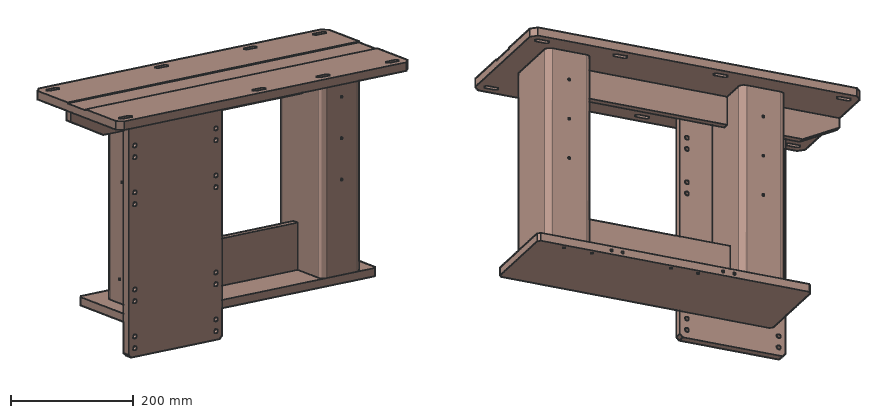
import cadquery as cq

TABLE_LENGTH = 590.0
TABLE_WIDTH = 235.0
OVERALL_HEIGHT = 427.0
PLATE_THICKNESS = 15.0
TABLE_TOP = OVERALL_HEIGHT / 2
TABLE_UNDERSIDE = TABLE_TOP - PLATE_THICKNESS
LEFT_SIDE = -TABLE_WIDTH / 2
FRONT_END = -TABLE_LENGTH / 2

TABLE_CORNER_CHAMFER = 10.0
GROOVE_WIDTH = 49.5
GROOVE_DEPTH = 2.0
SLOT_LENGTH = 25.0
SLOT_WIDTH = 9.5
SLOT_X = 100.0
SLOT_END_Y = 269.5
SLOT_INNER_Y = 130.0
LEFT_SLOT_MID_Y = -49.5
RIGHT_SLOT_MID_Y = 0.0

COLUMN_WIDTH = 120.0
COLUMN_DEPTH = 80.0
COLUMN_RADIUS = 10.0
COLUMN_INSET = 35.5
COLUMN_HEIGHT = 352.0
COLUMN_X = LEFT_SIDE + COLUMN_INSET + COLUMN_WIDTH / 2
COLUMN_BACK_FACE = COLUMN_X + COLUMN_WIDTH / 2
COLUMN_BOTTOM = TABLE_UNDERSIDE - COLUMN_HEIGHT
FRONT_COLUMN_Y = -134.0
REAR_COLUMN_Y = 213.0
SCREW_HOLE = 3.5
SIDE_HOLE_DROPS = (50.0, 120.5, 190.5)
FRONT_HOLE_DEPTH = 12.0
FRONT_HOLES = (
    (-18.0, 146.0),
    (18.0, 146.0),
    (0.0, 218.0),
    (0.0, 252.0),
    (-24.0, 311.5),
    (24.0, 311.5),
)

WEB_THICKNESS = 12.0
UPPER_WEB_HEIGHT = 50.0
LOWER_WEB_HEIGHT = 80.0
GUSSET_TIP_HEIGHT = 16.5
GUSSET_SLOPE_LENGTH = 66.0
LOWER_WEB_X = COLUMN_X - WEB_THICKNESS
WEB_FRONT_Y = FRONT_COLUMN_Y + COLUMN_DEPTH / 2
WEB_REAR_Y = REAR_COLUMN_Y - COLUMN_DEPTH / 2

BASE_THICKNESS = 14.0
BASE_FRONT_Y = -204.0
BASE_REAR_Y = 284.5
BASE_CORNER_CHAMFER = 5.0
BASE_HOLE = 4.0
BASE_HOLE_DEPTH = 9.0
BASE_EDGE_HOLES_Y = (153.5, 133.5, -46.0, -66.0)
BASE_TOP_HOLES_Y = (234.0, 184.0, 42.5, -6.0)
BASE_TOP_HOLE_INSET = 10.0

BACK_WIDTH = 189.0
BACK_Y = FRONT_COLUMN_Y
BACK_TOP_GAP = 5.0
BACK_TOP = TABLE_UNDERSIDE - BACK_TOP_GAP
BACK_BOTTOM = -OVERALL_HEIGHT / 2
BACK_CORNER_CHAMFER = 5.5
BACK_HOLE = 7.0
BACK_HOLE_HALF_SPAN = 82.0
BACK_PAIR_PITCH = 20.0
BACK_PAIR_HEIGHTS = (25.0, 104.5, 269.0, 348.5)


def box(x_min, x_max, y_min, y_max, z_min, z_max):
    """Box given by its limits along the three axes."""
    return cq.Workplane("XY").box(
        x_max - x_min, y_max - y_min, z_max - z_min, centered=False
    ).translate((x_min, y_min, z_min))


def hole_along_x(diameter, x_start, length, y, z):
    """Cylinder running toward +X from x_start."""
    drill = cq.Workplane("YZ", origin=(x_start, y, z))
    return drill.circle(diameter / 2).extrude(length)


def make_table():
    """Slotted table plate with a shallow groove along its length."""
    plate = cq.Workplane("XY", origin=(0, 0, TABLE_UNDERSIDE))
    plate = plate.rect(TABLE_WIDTH, TABLE_LENGTH).extrude(PLATE_THICKNESS)
    plate = plate.edges("|Z").chamfer(TABLE_CORNER_CHAMFER)
    groove = box(
        -GROOVE_WIDTH / 2, GROOVE_WIDTH / 2,
        FRONT_END, -FRONT_END,
        TABLE_TOP - GROOVE_DEPTH, TABLE_TOP,
    )
    slot_places = []
    for x, mid_y in ((-SLOT_X, LEFT_SLOT_MID_Y), (SLOT_X, RIGHT_SLOT_MID_Y)):
        for y in (-SLOT_END_Y, mid_y, SLOT_INNER_Y, SLOT_END_Y):
            slot_places.append((x, y))
    slots = cq.Workplane("XY", origin=(0, 0, TABLE_UNDERSIDE)).pushPoints(slot_places)
    slots = slots.slot2D(SLOT_LENGTH, SLOT_WIDTH, 90).extrude(PLATE_THICKNESS)
    return plate.cut(groove).cut(slots)


def make_column(y):
    """Rounded column with three screw holes through it from side to side."""
    column = cq.Workplane("XY", origin=(COLUMN_X, y, COLUMN_BOTTOM))
    column = column.rect(COLUMN_WIDTH, COLUMN_DEPTH).extrude(COLUMN_HEIGHT)
    column = column.edges("|Z").fillet(COLUMN_RADIUS)
    column_left = COLUMN_X - COLUMN_WIDTH / 2
    for drop in SIDE_HOLE_DROPS:
        z = TABLE_UNDERSIDE - drop
        column = column.cut(hole_along_x(SCREW_HOLE, column_left, COLUMN_WIDTH, y, z))
    return column


def drill_front_face(column):
    """Blind screw holes in the front face of the front column."""
    face_y = FRONT_COLUMN_Y - COLUMN_DEPTH / 2
    drill = cq.Workplane("XZ", origin=(COLUMN_X, face_y, TABLE_UNDERSIDE))
    drill = drill.pushPoints([(offset, -drop) for offset, drop in FRONT_HOLES])
    return column.cut(drill.circle(SCREW_HOLE / 2).extrude(-FRONT_HOLE_DEPTH))


def make_web(x, z_min, z_max):
    """Flat web spanning the gap between the two columns, centred on x."""
    half = WEB_THICKNESS / 2
    return box(x - half, x + half, WEB_FRONT_Y, WEB_REAR_Y, z_min, z_max)


def make_gusset():
    """Web under the front overhang of the table, tapered toward its tip."""
    root_y = FRONT_COLUMN_Y - COLUMN_DEPTH / 2
    bottom = TABLE_UNDERSIDE - UPPER_WEB_HEIGHT
    outline = [
        (root_y, TABLE_UNDERSIDE),
        (FRONT_END, TABLE_UNDERSIDE),
        (FRONT_END, TABLE_UNDERSIDE - GUSSET_TIP_HEIGHT),
        (FRONT_END + GUSSET_SLOPE_LENGTH, bottom),
        (root_y, bottom),
    ]
    sketch = cq.Workplane("YZ", origin=(COLUMN_X - WEB_THICKNESS / 2, 0, 0))
    return sketch.polyline(outline).close().extrude(WEB_THICKNESS)


def make_base():
    """Base plate drilled along its left edge and top."""
    bottom = COLUMN_BOTTOM - BASE_THICKNESS
    plate = box(LEFT_SIDE, COLUMN_BACK_FACE, BASE_FRONT_Y, BASE_REAR_Y, bottom, COLUMN_BOTTOM)
    plate = plate.edges("|Z").chamfer(BASE_CORNER_CHAMFER)
    middle = COLUMN_BOTTOM - BASE_THICKNESS / 2
    for y in BASE_EDGE_HOLES_Y:
        plate = plate.cut(hole_along_x(BASE_HOLE, LEFT_SIDE, BASE_HOLE_DEPTH, y, middle))
    top_holes = cq.Workplane("XY", origin=(LEFT_SIDE + BASE_TOP_HOLE_INSET, 0, COLUMN_BOTTOM))
    top_holes = top_holes.pushPoints([(0, y) for y in BASE_TOP_HOLES_Y])
    return plate.cut(top_holes.circle(BASE_HOLE / 2).extrude(-BASE_THICKNESS))


def make_back_plate():
    """Upright plate behind the front column, with pairs of holes down both edges."""
    plate = box(
        COLUMN_BACK_FACE, COLUMN_BACK_FACE + PLATE_THICKNESS,
        BACK_Y - BACK_WIDTH / 2, BACK_Y + BACK_WIDTH / 2,
        BACK_BOTTOM, BACK_TOP,
    )
    plate = plate.edges("|X").chamfer(BACK_CORNER_CHAMFER)
    for y in (BACK_Y - BACK_HOLE_HALF_SPAN, BACK_Y + BACK_HOLE_HALF_SPAN):
        for pair_height in BACK_PAIR_HEIGHTS:
            for shift in (-BACK_PAIR_PITCH / 2, BACK_PAIR_PITCH / 2):
                z = BACK_BOTTOM + pair_height + shift
                plate = plate.cut(
                    hole_along_x(BACK_HOLE, COLUMN_BACK_FACE, PLATE_THICKNESS, y, z)
                )
    return plate


table = make_table()
columns = [make_column(y) for y in (FRONT_COLUMN_Y, REAR_COLUMN_Y)]
columns[0] = drill_front_face(columns[0])
upper_web = make_web(COLUMN_X, TABLE_UNDERSIDE - UPPER_WEB_HEIGHT, TABLE_UNDERSIDE)
lower_web = make_web(LOWER_WEB_X, COLUMN_BOTTOM, COLUMN_BOTTOM + LOWER_WEB_HEIGHT)
gusset = make_gusset()
base = make_base()
back_plate = make_back_plate()

result = cq.Compound.makeCompound([
    table.val(),
    *[column.val() for column in columns],
    upper_web.val(),
    lower_web.val(),
    gusset.val(),
    base.val(),
    back_plate.val(),
])